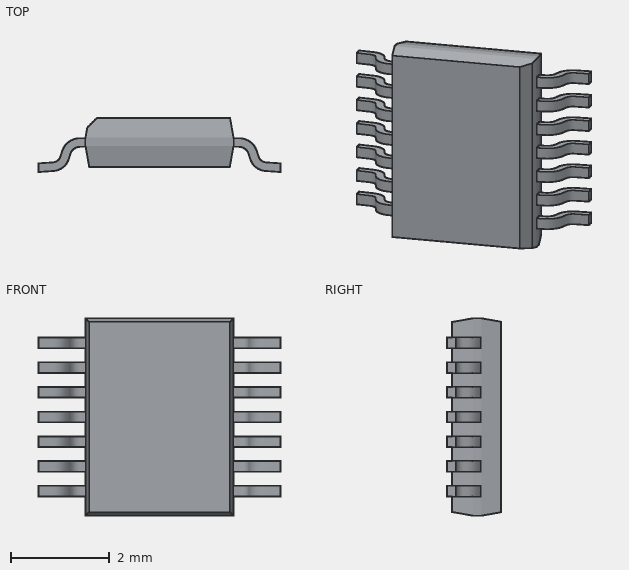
import cadquery as cq
import math


body_width = 3.0
body_length = 4.0
body_top = 1.1
standoff = 0.1
band_bottom = 0.53
band_top = 0.70
draft_angle = 10.0
edge_chamfer = 0.2

leads_per_side = 7
lead_pitch = 0.5
lead_width = 0.22
lead_thickness = 0.18
lead_bottom = 0.51
span_over_leads = 4.9
shoulder_length = 0.11
root_depth = 0.2
upper_inner_radius = 0.20
lower_inner_radius = 0.17
leg_angle = math.radians(72)
foot_angle = math.radians(4)

upper_outer_radius = upper_inner_radius + lead_thickness
lower_outer_radius = lower_inner_radius + lead_thickness
half_width = body_width / 2
lead_tip_x = span_over_leads / 2


def body_slab(start_y, height, taper):
    """Rectangular slab grown along Y from start_y; a negative height grows downwards."""
    return (
        cq.Workplane("XZ", origin=(0, start_y, 0))
        .rect(body_width, body_length)
        .extrude(-height, taper=taper)
    )


def make_body():
    """Straight parting band with drafted halves and a chamfer along the pin 1 side."""
    body = body_slab(band_bottom, band_top - band_bottom, 0)
    body = body.union(body_slab(band_top, body_top - band_top, draft_angle))
    body = body.union(body_slab(band_bottom, standoff - band_bottom, draft_angle))
    return body.cut(make_chamfer_cutter())


def make_chamfer_cutter():
    """Triangular prism that bevels the upper edge on the -X side at 45 degrees."""
    draft_slope = math.tan(math.radians(draft_angle))
    low_y = body_top - edge_chamfer
    low_x = -half_width + (low_y - band_top) * draft_slope
    return (
        cq.Workplane("XY")
        .moveTo(low_x, low_y)
        .lineTo(low_x + edge_chamfer, body_top)
        .lineTo(low_x, body_top)
        .close()
        .extrude(body_length / 2, both=True)
    )


def bend_point(center, radius, angle):
    """Point on a bend, angle taken from +Y towards +X; a negative radius gives the opposite point."""
    return center[0] + radius * math.sin(angle), center[1] + radius * math.cos(angle)


def make_lead():
    """One +X lead centred on Z = 0: shoulder, upper bend, leg, lower bend and foot."""
    upper = (half_width + shoulder_length, lead_bottom - upper_inner_radius)

    radii = upper_inner_radius + lower_outer_radius
    foot_slope = math.tan(foot_angle)
    run = lead_tip_x - upper[0] - radii * math.sin(leg_angle)
    drop = upper[1] + radii * math.cos(leg_angle) - lower_outer_radius / math.cos(foot_angle)
    leg_length = (drop - run * foot_slope) / (math.sin(leg_angle) - math.cos(leg_angle) * foot_slope)

    lower_x, lower_y = bend_point(upper, radii, leg_angle)
    lower = (
        lower_x + leg_length * math.cos(leg_angle),
        lower_y - leg_length * math.sin(leg_angle),
    )
    upper_middle = leg_angle / 2
    lower_middle = (leg_angle + foot_angle) / 2
    tip_height = lead_thickness / math.cos(foot_angle)
    root_x = half_width - root_depth

    return (
        cq.Workplane("XY")
        .moveTo(root_x, lead_bottom)
        .lineTo(*bend_point(upper, upper_inner_radius, 0))
        .threePointArc(
            bend_point(upper, upper_inner_radius, upper_middle),
            bend_point(upper, upper_inner_radius, leg_angle),
        )
        .lineTo(*bend_point(lower, -lower_outer_radius, leg_angle))
        .threePointArc(
            bend_point(lower, -lower_outer_radius, lower_middle),
            bend_point(lower, -lower_outer_radius, foot_angle),
        )
        .lineTo(lead_tip_x, 0)
        .lineTo(lead_tip_x, tip_height)
        .lineTo(*bend_point(lower, -lower_inner_radius, foot_angle))
        .threePointArc(
            bend_point(lower, -lower_inner_radius, lower_middle),
            bend_point(lower, -lower_inner_radius, leg_angle),
        )
        .lineTo(*bend_point(upper, upper_outer_radius, leg_angle))
        .threePointArc(
            bend_point(upper, upper_outer_radius, upper_middle),
            bend_point(upper, upper_outer_radius, 0),
        )
        .lineTo(root_x, lead_bottom + lead_thickness)
        .close()
        .extrude(lead_width / 2, both=True)
    )


def add_leads(body):
    """Fuse a row of leads onto the +X side and its mirror image onto the -X side."""
    right_lead = make_lead()
    left_lead = right_lead.mirror("YZ")
    for index in range(leads_per_side):
        z = (index - (leads_per_side - 1) / 2) * lead_pitch
        body = body.union(right_lead.translate((0, 0, z)))
        body = body.union(left_lead.translate((0, 0, z)))
    return body


result = add_leads(make_body())